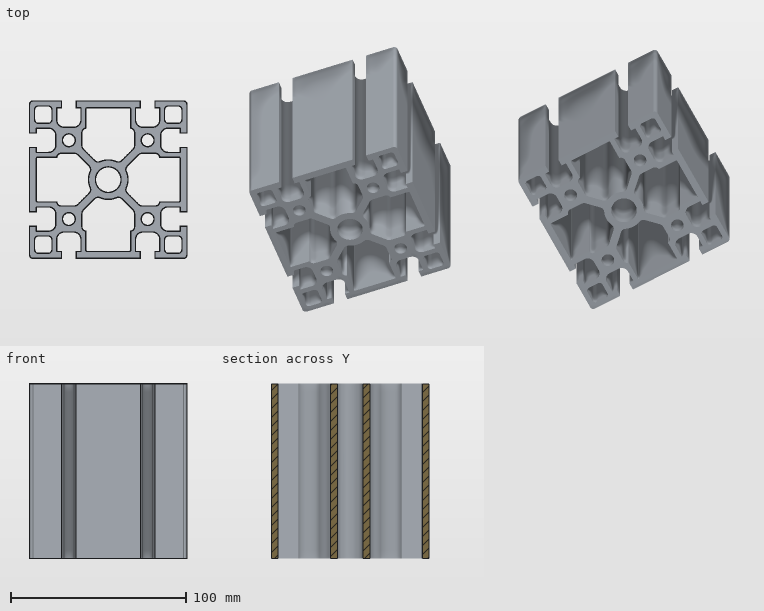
import cadquery as cq
import math

SIDE = 90.0
LENGTH = 100.0
HALF = SIDE / 2
CORNER_RADIUS = 2.0

PITCH = SIDE / 2
SLOT_OFFSET = PITCH / 2
SLOT_MOUTH = 8.2
SLOT_WIDTH = 13.7
SLOT_DEPTH = 15.0
LIP = 4.0
SLOT_FLOOR_RADIUS = 4.0

SCREW_BORE = 7.2
CENTRE_BORE = 14.5
TUBE_WALL = 4.1
TUBE_RADIUS = CENTRE_BORE / 2 + TUBE_WALL

SLOT_WALL = 2.9
CORNER_WALL = 3.0
CORNER_CHAMBER_RADIUS = 2.0

NARROW_HALF = SLOT_OFFSET - SLOT_WIDTH / 2 - SLOT_WALL
WIDE_HALF = HALF - 2 * SLOT_DEPTH
CHAMBER_TOP = HALF - LIP
SHOULDER = 29.4
SHOULDER_RADIUS = 2.5
NARROW_RADIUS = 0.6
TUBE_FILLET = 2.8
BOSS_FILLET = 3.0

WEB_THICKNESS = 4.5
WEB_OFFSET = WEB_THICKNESS / math.sqrt(2)


def box(x_min, x_max, y_min, y_max):
    """Full-length block between the given X and Y limits."""
    return (
        cq.Workplane("XY")
        .center((x_min + x_max) / 2, (y_min + y_max) / 2)
        .rect(x_max - x_min, y_max - y_min)
        .extrude(LENGTH)
    )


def edges_between(y_min, y_max):
    """Selector for the lengthwise edges whose Y lies between the limits."""
    return cq.selectors.BoxSelector((-SIDE, y_min, 0), (SIDE, y_max, LENGTH))


def t_slot(x):
    """T-slot in the +Y side, centred at x."""
    mouth = box(x - SLOT_MOUTH / 2, x + SLOT_MOUTH / 2, HALF - LIP, HALF)
    channel = box(x - SLOT_WIDTH / 2, x + SLOT_WIDTH / 2, HALF - SLOT_DEPTH, HALF - LIP)
    channel = channel.faces("<Y").edges("|Z").fillet(SLOT_FLOOR_RADIUS)
    return mouth.union(channel)


def side_chamber():
    """Large hollow behind the +Y side, ending at the webs and the centre tube."""
    narrow = box(-NARROW_HALF, NARROW_HALF, SLOT_OFFSET, CHAMBER_TOP)
    narrow = narrow.faces(">Y").edges("|Z").fillet(NARROW_RADIUS)
    wide = (
        cq.Workplane("XY")
        .polyline([
            (0, WEB_OFFSET),
            (WIDE_HALF, WIDE_HALF + WEB_OFFSET),
            (WIDE_HALF, SHOULDER),
            (-WIDE_HALF, SHOULDER),
            (-WIDE_HALF, WIDE_HALF + WEB_OFFSET),
        ])
        .close()
        .extrude(LENGTH)
    )
    wide = wide.faces(">Y").edges("|Z").fillet(SHOULDER_RADIUS)
    tube = cq.Workplane("XY").circle(TUBE_RADIUS).extrude(LENGTH)
    wide = wide.cut(tube)
    wide = wide.edges("|Z").edges(edges_between(0, TUBE_RADIUS)).fillet(TUBE_FILLET)
    wide = wide.edges("|Z").edges(edges_between(WIDE_HALF, SLOT_OFFSET)).fillet(BOSS_FILLET)
    return wide.union(narrow)


def corner_chamber():
    """Square hollow in the +X +Y corner."""
    outer = HALF - CORNER_WALL
    inner = SLOT_OFFSET + SLOT_WIDTH / 2 + SLOT_WALL
    return box(inner, outer, inner, outer).edges("|Z").fillet(CORNER_CHAMBER_RADIUS)


result = box(-HALF, HALF, -HALF, HALF).edges("|Z").fillet(CORNER_RADIUS)

side_cut = (
    t_slot(-SLOT_OFFSET)
    .union(t_slot(SLOT_OFFSET))
    .union(side_chamber())
    .union(corner_chamber())
)
for quarter in range(4):
    result = result.cut(side_cut.rotate((0, 0, 0), (0, 0, 1), 90 * quarter))

screw_bores = (
    cq.Workplane("XY")
    .rect(PITCH, PITCH, forConstruction=True)
    .vertices()
    .circle(SCREW_BORE / 2)
    .extrude(LENGTH)
)
centre_bore = cq.Workplane("XY").circle(CENTRE_BORE / 2).extrude(LENGTH)
result = result.cut(screw_bores).cut(centre_bore)